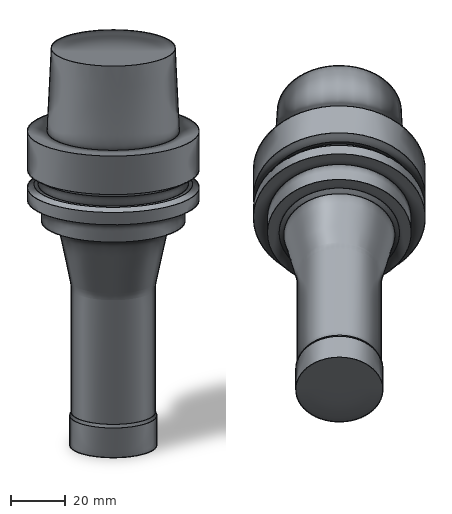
import cadquery as cq
import math

total_height = 152
flange_top = 120.2
groove_top_edge = 105.5
groove_top = 103.8
groove_bottom = 99.9
groove_bottom_edge = 98.6
flange_bottom = 94.0
boss_bottom = 85.7
cone_top = 84.5
cone_bottom = 62.8
shank_top = 60.0
collar_chamfer_top = 12.6
collar_top = 11.4

taper_small_diameter = 45.5
taper_large_diameter = 48.5
flange_diameter = 63.0
groove_diameter = 55.0
boss_diameter = 52.6
cone_rim_diameter = 44.1
shank_diameter = 30.9
collar_diameter = 31.9

cone_half_angle = math.radians(12)

upper_groove_chamfer = 2.9
lower_groove_chamfer = 2.5

shank_radius = shank_diameter / 2
collar_radius = collar_diameter / 2
flange_radius = flange_diameter / 2
groove_radius = groove_diameter / 2
boss_radius = boss_diameter / 2

blend_height = cone_bottom - shank_top
cone_bottom_radius = shank_radius + blend_height * math.tan(cone_half_angle / 2)
cone_top_radius = cone_bottom_radius + (cone_top - cone_bottom) * math.tan(cone_half_angle)

profile = (
    cq.Workplane("XZ")
    .lineTo(collar_radius, 0)
    .lineTo(collar_radius, collar_top)
    .lineTo(shank_radius, collar_chamfer_top)
    .lineTo(shank_radius, shank_top)
    .tangentArcPoint((cone_bottom_radius, cone_bottom), relative=False)
    .lineTo(cone_top_radius, cone_top)
    .lineTo(cone_rim_diameter / 2, boss_bottom)
    .lineTo(boss_radius, boss_bottom)
    .lineTo(boss_radius, flange_bottom)
    .lineTo(flange_radius, flange_bottom)
    .lineTo(flange_radius, groove_bottom_edge)
    .lineTo(flange_radius - lower_groove_chamfer, groove_bottom)
    .lineTo(groove_radius, groove_bottom)
    .lineTo(groove_radius, groove_top)
    .lineTo(flange_radius - upper_groove_chamfer, groove_top)
    .lineTo(flange_radius, groove_top_edge)
    .lineTo(flange_radius, flange_top)
    .lineTo(taper_large_diameter / 2, flange_top)
    .lineTo(taper_small_diameter / 2, total_height)
    .lineTo(0, total_height)
    .close()
)

result = profile.revolve(360, (0, 0, 0), (0, 1, 0))